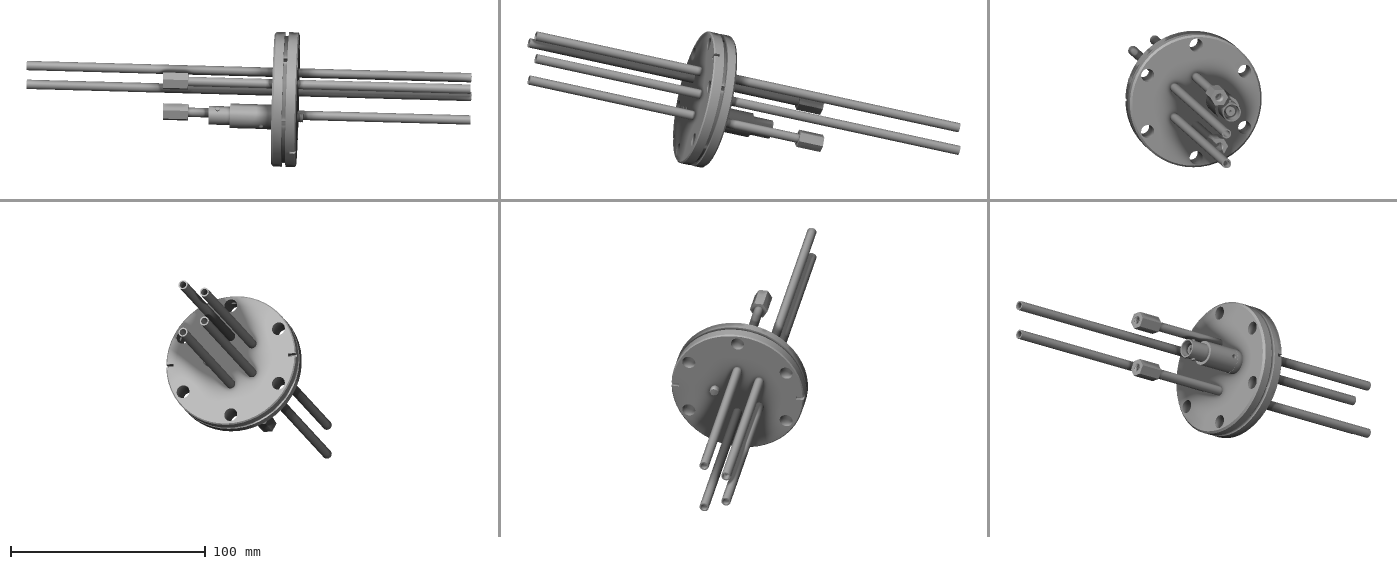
import cadquery as cq
import math

TURN_ANGLE = -30.0

FLANGE_DIAMETER = 69.3
FLANGE_THICKNESS = 12.6
FRONT_FACE = -FLANGE_THICKNESS / 2
BACK_FACE = FLANGE_THICKNESS / 2
FRONT_CHAMFER = 1.0
BACK_CHAMFER = 0.6
RIM_GROOVE_WIDTH = 2.0
RIM_GROOVE_DEPTH = 2.0
LEAK_SLOT_WIDTH = 1.6
LEAK_SLOT_DEPTH = 3.0
LEAK_SLOT_LENGTH = 4.0
BOLT_COUNT = 6
BOLT_HOLE_DIAMETER = 6.8
BOLT_CIRCLE_RADIUS = 29.5

TUBE_DIAMETER = 4.8
TUBE_BORE = 3.5
TUBE_BACK_END = 95.2
LONG_TUBE_FRONT_END = -133.5
LONG_TUBE_X = -11.5
LONG_TUBE_Z = 7.8
SHORT_TUBE_X = 0.0
SHORT_TUBE_Z = 12.8

HEX_ACROSS_CORNERS = 9.2
HEX_FRONT_END = -63.0
HEX_BACK_END = -50.0
HEX_SOCKET_DIAMETER = 5.0
HEX_SOCKET_END = HEX_FRONT_END + 10.0

THREAD_PITCH = 0.8
THREAD_DEPTH = 0.5

CONNECTOR_X = 11.6
COLLAR_DIAMETER = 12.8
COLLAR_FRONT_END = -9.6
BODY_DIAMETER = 12.6
BODY_FRONT_END = -28.0
VENT_DIAMETER = 2.5
VENT_DEPTH = 3.0
VENT_Y = -12.0
BARREL_DIAMETER = 9.6
BARREL_FRONT_END = -39.0
BARREL_BORE = 8.2
BARREL_BORE_DEPTH = 8.5
INSULATOR_DIAMETER = 4.8
INSULATOR_FRONT_END = BARREL_FRONT_END + 2.8
CONTACT_HOLE_DIAMETER = 1.26
CONTACT_HOLE_DEPTH = 6.0
BAYONET_PIN_DIAMETER = 2.0
BAYONET_PIN_SPAN = 11.0
BAYONET_PIN_Y = -34.5
STUB_DIAMETER = 4.8
STUB_END = 10.0


def rod(diameter, x, z, front, back):
    """Cylinder along Y between two Y positions."""
    return cq.Workplane("XZ", origin=(x, front, z)).circle(diameter / 2).extrude(front - back)


def threaded_rod(diameter, x, z, front, back):
    """Rod along Y with V rings in place of a helical thread; whole pitches only."""
    ridge_radius = diameter / 2
    root_radius = ridge_radius - THREAD_DEPTH
    ring_count = math.floor((back - front) / THREAD_PITCH)
    outline = [(0, front), (root_radius, front)]
    for i in range(ring_count):
        ring_front = front + i * THREAD_PITCH
        outline.append((ridge_radius, ring_front + THREAD_PITCH / 2))
        outline.append((root_radius, ring_front + THREAD_PITCH))
    outline.append((0, front + ring_count * THREAD_PITCH))
    profile = cq.Workplane("XY").polyline(outline).close()
    return profile.revolve(360, (0, 0, 0), (0, 1, 0)).translate((x, 0, z))


def make_flange():
    flange = rod(FLANGE_DIAMETER, 0, 0, FRONT_FACE, BACK_FACE)
    flange = flange.faces("<Y").edges().chamfer(FRONT_CHAMFER)
    flange = flange.faces(">Y").edges().chamfer(BACK_CHAMFER)

    groove_front = -RIM_GROOVE_WIDTH / 2
    groove_back = RIM_GROOVE_WIDTH / 2
    groove_floor = rod(FLANGE_DIAMETER - 2 * RIM_GROOVE_DEPTH, 0, 0, groove_front, groove_back)
    flange = flange.cut(rod(FLANGE_DIAMETER, 0, 0, groove_front, groove_back).cut(groove_floor))

    for i in range(BOLT_COUNT):
        angle = math.radians(90 + i * 360 / BOLT_COUNT)
        x = BOLT_CIRCLE_RADIUS * math.cos(angle)
        z = BOLT_CIRCLE_RADIUS * math.sin(angle)
        flange = flange.cut(rod(BOLT_HOLE_DIAMETER, x, z, FRONT_FACE, BACK_FACE))

    slot = cq.Workplane("XY").box(2 * LEAK_SLOT_LENGTH, 2 * LEAK_SLOT_DEPTH, LEAK_SLOT_WIDTH)
    for side in (-1, 1):
        flange = flange.cut(slot.translate((side * FLANGE_DIAMETER / 2, BACK_FACE, 0)))
    return flange


def make_connector():
    collar = rod(COLLAR_DIAMETER, CONNECTOR_X, 0, COLLAR_FRONT_END, 0)
    body = rod(BODY_DIAMETER, CONNECTOR_X, 0, BODY_FRONT_END, COLLAR_FRONT_END)
    vent_floor_x = CONNECTOR_X + BODY_DIAMETER / 2 - VENT_DEPTH
    vent = (
        cq.Workplane("YZ", origin=(vent_floor_x, VENT_Y, 0))
        .circle(VENT_DIAMETER / 2)
        .extrude(2 * VENT_DEPTH)
    )
    barrel = rod(BARREL_DIAMETER, CONNECTOR_X, 0, BARREL_FRONT_END, BODY_FRONT_END)
    bayonet_pins = (
        cq.Workplane("XY", origin=(CONNECTOR_X, BAYONET_PIN_Y, 0))
        .circle(BAYONET_PIN_DIAMETER / 2)
        .extrude(BAYONET_PIN_SPAN / 2, both=True)
    )
    bore_end = BARREL_FRONT_END + BARREL_BORE_DEPTH
    bore = rod(BARREL_BORE, CONNECTOR_X, 0, BARREL_FRONT_END, bore_end)
    insulator = rod(INSULATOR_DIAMETER, CONNECTOR_X, 0, INSULATOR_FRONT_END, BODY_FRONT_END)
    contact_end = INSULATOR_FRONT_END + CONTACT_HOLE_DEPTH
    contact_hole = rod(CONTACT_HOLE_DIAMETER, CONNECTOR_X, 0, INSULATOR_FRONT_END, contact_end)
    stub = threaded_rod(STUB_DIAMETER, CONNECTOR_X, 0, BACK_FACE, STUB_END)

    shell = collar.union(body).cut(vent).union(barrel).union(bayonet_pins).cut(bore)
    return shell.union(insulator).cut(contact_hole), stub


def add_long_tube(part, z):
    tube = rod(TUBE_DIAMETER, LONG_TUBE_X, z, LONG_TUBE_FRONT_END, TUBE_BACK_END)
    bore = rod(TUBE_BORE, LONG_TUBE_X, z, LONG_TUBE_FRONT_END, TUBE_BACK_END)
    return part.union(tube).cut(bore)


def add_short_tube(part, z):
    """Tube with a hexagonal fitting whose threaded socket opens into the bore."""
    tube = rod(TUBE_DIAMETER, SHORT_TUBE_X, z, HEX_BACK_END, TUBE_BACK_END)
    fitting = (
        cq.Workplane("XZ", origin=(SHORT_TUBE_X, HEX_FRONT_END, z))
        .polygon(6, HEX_ACROSS_CORNERS)
        .extrude(HEX_FRONT_END - HEX_BACK_END)
    )
    bore = rod(TUBE_BORE, SHORT_TUBE_X, z, HEX_SOCKET_END - THREAD_PITCH, TUBE_BACK_END)
    socket = threaded_rod(HEX_SOCKET_DIAMETER, SHORT_TUBE_X, z, HEX_FRONT_END, HEX_SOCKET_END)
    return part.union(tube).union(fitting).cut(bore).cut(socket)


connector, back_stub = make_connector()
feedthrough = make_flange().union(connector).union(back_stub)
for side in (-1, 1):
    feedthrough = add_long_tube(feedthrough, side * LONG_TUBE_Z)
    feedthrough = add_short_tube(feedthrough, side * SHORT_TUBE_Z)

result = feedthrough.rotate((0, 0, 0), (0, 0, 1), TURN_ANGLE)